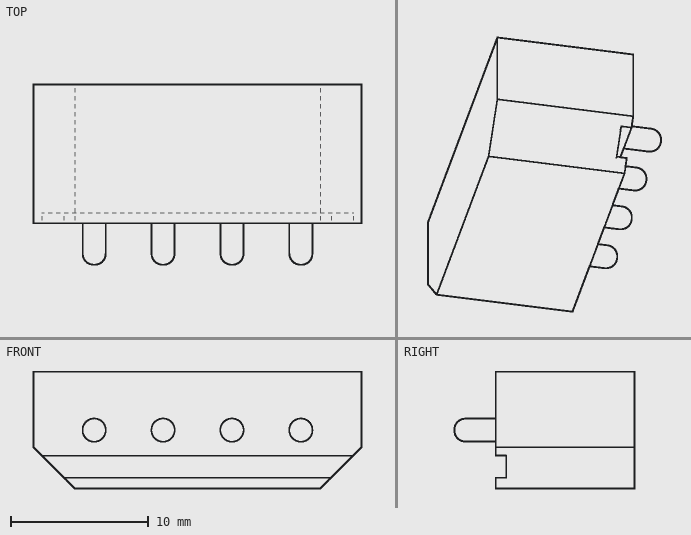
import cadquery as cq

length = 23.8
total_depth = 13.1
height = 8.5
corner_chamfer = 3.0

pin_count = 4
pin_pitch = 5.0
pin_diameter = 1.7
pin_projection = 3.0
pin_tip_radius = 0.8

groove_height = 1.6
groove_depth = 0.75
groove_bottom = 0.8

body_depth = total_depth - pin_projection


def make_housing():
    """Block with its front face at Y=0 and both lower side edges chamfered."""
    block = cq.Workplane("XY").box(length, body_depth, height, centered=(True, False, False))
    return block.faces("<Z").edges("|Y").chamfer(corner_chamfer)


def make_groove():
    """Full-length bar that cuts the groove into the front face."""
    return (
        cq.Workplane("XY")
        .box(length, groove_depth, groove_height, centered=(True, False, False))
        .translate((0, 0, groove_bottom))
    )


def make_pin(x):
    """Round-ended pin standing out of the front face at mid height."""
    return (
        cq.Workplane("XZ", origin=(x, 0, height / 2))
        .circle(pin_diameter / 2)
        .extrude(pin_projection)
        .faces("<Y")
        .edges()
        .fillet(pin_tip_radius)
    )


result = make_housing().cut(make_groove())
for index in range(pin_count):
    pin_x = (index - (pin_count - 1) / 2) * pin_pitch
    result = result.union(make_pin(pin_x))